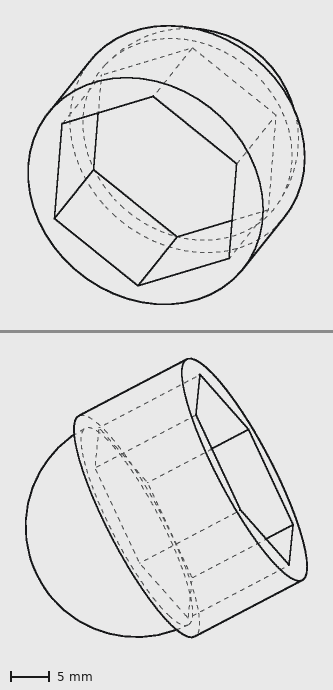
import cadquery as cq
import math

skirt_diameter = 32.0
skirt_length = 16.0
dome_radius = 14.25

socket_across_flats = 23.8
socket_depth = 15.0
socket_angle = 25.7


def make_cap_body():
    """Cylindrical skirt with a hemispherical dome on its closed end."""
    profile = (
        cq.Workplane("XY")
        .moveTo(0, 0)
        .lineTo(skirt_diameter / 2, 0)
        .lineTo(skirt_diameter / 2, skirt_length)
        .lineTo(dome_radius, skirt_length)
        .radiusArc((0, skirt_length + dome_radius), -dome_radius)
        .close()
    )
    return profile.revolve(360, (0, 0, 0), (0, 1, 0))


def make_socket():
    """Hexagonal prism entering from the open end."""
    across_corners = socket_across_flats / math.cos(math.radians(30))
    return (
        cq.Workplane("XZ")
        .transformed(rotate=(0, 0, socket_angle))
        .polygon(6, across_corners)
        .extrude(-socket_depth)
    )


result = make_cap_body().cut(make_socket())